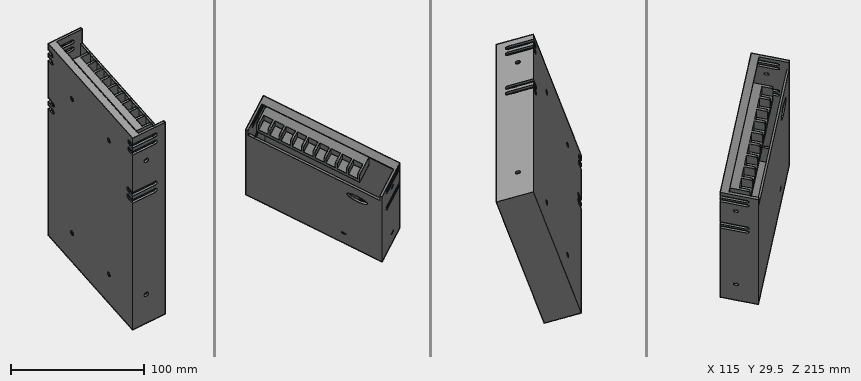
import cadquery as cq


WIDTH = 115.0
DEPTH = 29.5
LENGTH = 215.0
SIDE_WALL = 2.0
PLATE = 1.0
END_WALL = 2.0
LIP_DEPTH = 6.5

COVER = 1.7
COVER_TOP = 199.5
VENT_DIAMETER = 17.2
VENT_X = 21.0
VENT_Z = 167.7

BLOCK_X = 22.8
BLOCK_DEPTH = 15.3
BLOCK_BOTTOM = 189.2
BLOCK_TOP = 214.0
TERMINALS = 9
TERMINAL_PITCH = 9.5
DIVIDER = 1.7
DIVIDER_ROUND = 2.2
CELL_DEPTH = 8.4
CELL_FLOOR = 197.8

HOLE_DIAMETER = 3.9
HOLE_Z = (32.5, 182.5)
PLATE_HOLE_SPACING = 50.0
SIDE_HOLE_Y = 12.3

SLOT_HEIGHT = 4.0
SLOT_PITCH = 8.0
SLOT_SIDE_REACH = 22.1
UPPER_SLOTS_Z = 206.0
UPPER_SLOT_REACH = 6.5
LOWER_SLOTS_Z = 152.0
LOWER_SLOT_REACH = 8.0

INNER_WIDTH = WIDTH - 2 * SIDE_WALL
BLOCK_BACK = LIP_DEPTH + BLOCK_DEPTH
PLATE_HOLES_X = ((WIDTH - PLATE_HOLE_SPACING) / 2, (WIDTH + PLATE_HOLE_SPACING) / 2)


def box(x, y, z, width, depth, height):
    """Box with its lowest corner at (x, y, z)."""
    return cq.Workplane("XY").box(width, depth, height, centered=False).translate((x, y, z))


def cylinder_along_y(x, z, diameter, start, length):
    """Cylinder parallel to Y, from Y = start."""
    solid = cq.Solid.makeCylinder(diameter / 2, length, cq.Vector(x, start, z), cq.Vector(0, 1, 0))
    return cq.Workplane(solid)


def cylinder_along_x(y, z, diameter, start, length):
    """Cylinder parallel to X, from X = start."""
    solid = cq.Solid.makeCylinder(diameter / 2, length, cq.Vector(start, y, z), cq.Vector(1, 0, 0))
    return cq.Workplane(solid)


def make_shell():
    """Mounting plate, side walls, closed bottom end and the lip across the top end."""
    shell = box(0, 0, 0, WIDTH, DEPTH, LENGTH)
    shell = shell.cut(box(SIDE_WALL, PLATE, END_WALL, INNER_WIDTH, DEPTH, LENGTH - 2 * END_WALL))
    lip_bottom = LENGTH - END_WALL
    return shell.cut(box(SIDE_WALL, LIP_DEPTH, lip_bottom, INNER_WIDTH, DEPTH, END_WALL))


def wrapped_slot(z, plate_reach):
    """Round-ended slot through the plate and the left wall, meeting at the corner."""
    radius = SLOT_HEIGHT / 2
    bottom = z - radius
    plate_end = plate_reach - radius
    side_end = SLOT_SIDE_REACH - radius
    slot = box(0, 0, bottom, plate_end, PLATE, SLOT_HEIGHT)
    slot = slot.union(cylinder_along_y(plate_end, z, SLOT_HEIGHT, 0, PLATE))
    slot = slot.union(box(0, 0, bottom, SIDE_WALL, side_end, SLOT_HEIGHT))
    return slot.union(cylinder_along_x(side_end, z, SLOT_HEIGHT, 0, SIDE_WALL))


def cut_slots(body):
    """Two pairs of wrapped slots on each front edge."""
    for top_slot_z, reach in ((UPPER_SLOTS_Z, UPPER_SLOT_REACH), (LOWER_SLOTS_Z, LOWER_SLOT_REACH)):
        for z in (top_slot_z, top_slot_z - SLOT_PITCH):
            left = wrapped_slot(z, reach)
            right = left.mirror("YZ").translate((WIDTH, 0, 0))
            body = body.cut(left).cut(right)
    return body


def cut_mounting_holes(body):
    """Four holes in the plate and two through both side walls."""
    for z in HOLE_Z:
        for x in PLATE_HOLES_X:
            body = body.cut(cylinder_along_y(x, z, HOLE_DIAMETER, 0, PLATE))
        body = body.cut(cylinder_along_x(SIDE_HOLE_Y, z, HOLE_DIAMETER, 0, WIDTH))
    return body


def make_cover():
    """Back cover with a vent, and a hole in line with the lower left plate hole."""
    back = DEPTH - COVER
    cover = box(SIDE_WALL, back, 0, INNER_WIDTH, COVER, COVER_TOP)
    cover = cover.cut(cylinder_along_y(VENT_X, VENT_Z, VENT_DIAMETER, back, COVER))
    return cover.cut(cylinder_along_y(PLATE_HOLES_X[0], HOLE_Z[0], HOLE_DIAMETER, back, COVER))


def make_terminal_block():
    """Block with a row of open cells between dividers that have a rounded upper corner."""
    length = TERMINALS * TERMINAL_PITCH + DIVIDER
    block = box(BLOCK_X, LIP_DEPTH, BLOCK_BOTTOM, length, BLOCK_DEPTH, BLOCK_TOP - BLOCK_BOTTOM)
    block = block.faces(">Y").edges(">Z").fillet(DIVIDER_ROUND)
    cell_width = TERMINAL_PITCH - DIVIDER
    cell_y = BLOCK_BACK - CELL_DEPTH
    for i in range(TERMINALS):
        cell_x = BLOCK_X + DIVIDER + i * TERMINAL_PITCH
        block = block.cut(box(cell_x, cell_y, CELL_FLOOR, cell_width, CELL_DEPTH, BLOCK_TOP - CELL_FLOOR))
    return block


case = cut_mounting_holes(cut_slots(make_shell()))
result = case.union(make_cover()).union(make_terminal_block())